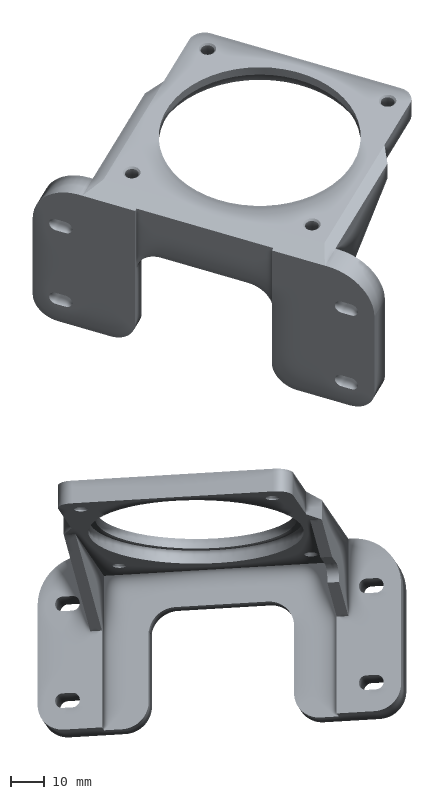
import cadquery as cq

overall_width = 110.0
overall_depth = 78.5
overall_height = 55.0

foot_thickness = 8.0
wall_thickness = 5.0
foot_gap = 44.0
foot_height = 54.0
foot_top_radius = 15.0
foot_bottom_radius = 8.0
slot_length = 7.5
slot_width = 4.5
slot_x = 46.0
slot_heights = (9.0, 39.0)

bridge_setback = 1.0
bridge_bottom = 37.0
bridge_radius = 8.0

plate_width = 71.1
plate_thickness = 7.0
plate_radius = 5.0
plate_bottom = overall_height - plate_thickness
plate_center_y = overall_depth - plate_width / 2
bore_diameter = 60.0
bore_lip = 3.0
recess_diameter = 64.0
hole_spacing = 58.0
hole_diameter = 4.1
hole_chamfer = 0.5

web_outer_width = 78.1
web_end_y = 48.0
web_flare_length = 6.0
web_root_height = 30.0
notch_front_y = 22.1
notch_top = 41.0
notch_radius = 3.7


def box(x_min, x_max, y_min, y_max, z_min, z_max):
    """Axis-aligned block given by its limits."""
    block = cq.Workplane("XY").box(x_max - x_min, y_max - y_min, z_max - z_min, centered=False)
    return block.translate((x_min, y_min, z_min))


def make_foot():
    """Rounded right-hand foot with two horizontal slots."""
    foot = box(foot_gap / 2, overall_width / 2, 0, foot_thickness, 0, foot_height)
    foot = foot.edges("|Y and <Z").fillet(foot_bottom_radius)
    foot = foot.edges("|Y and >X and >Z").fillet(foot_top_radius)
    slots = (
        cq.Workplane("XZ")
        .pushPoints([(slot_x, z) for z in slot_heights])
        .slot2D(slot_length, slot_width)
        .extrude(-foot_thickness)
    )
    return foot.cut(slots)


def make_body():
    """Front wall and side webs, with a roof that slopes away from the plate."""
    half_outer = web_outer_width / 2
    half_inner = plate_width / 2
    flare_end_y = web_end_y + web_flare_length
    outline = (
        cq.Workplane("XY")
        .polyline([
            (-half_outer, 0),
            (half_outer, 0),
            (half_outer, web_end_y),
            (half_inner, flare_end_y),
            (-half_inner, flare_end_y),
            (-half_outer, web_end_y),
        ])
        .close()
        .extrude(overall_height)
    )
    roof_across = (
        cq.Workplane("XZ")
        .polyline([
            (-half_outer, 0),
            (half_outer, 0),
            (half_outer, foot_height),
            (half_inner, overall_height),
            (-half_inner, overall_height),
            (-half_outer, foot_height),
        ])
        .close()
        .extrude(-overall_depth)
    )
    side_profile = (
        cq.Workplane("YZ")
        .polyline([
            (0, web_root_height),
            (foot_thickness, web_root_height),
            (web_end_y, plate_bottom),
            (flare_end_y, plate_bottom),
            (flare_end_y, overall_height),
            (foot_thickness, overall_height),
            (0, foot_height),
        ])
        .close()
        .extrude(half_outer, both=True)
    )
    return outline.intersect(roof_across).intersect(side_profile)


def make_cavity():
    """Space below the plate between the webs, also thinning the inner part of the feet."""
    half_width = plate_width / 2
    return box(-half_width, half_width, wall_thickness, overall_depth, 0, plate_bottom)


def make_plate():
    """Top plate with its far corners rounded."""
    half_width = plate_width / 2
    plate = box(-half_width, half_width, foot_thickness, overall_depth, plate_bottom, overall_height)
    return plate.edges("|Z and >Y").fillet(plate_radius)


def make_bridge_opening():
    """Opening between the feet with rounded upper corners, plus the bridge setback."""
    half_gap = foot_gap / 2
    opening = box(-half_gap, half_gap, 0, foot_thickness, 0, bridge_bottom)
    opening = opening.edges("|Y and >Z").fillet(bridge_radius)
    setback = box(-half_gap, half_gap, 0, bridge_setback, 0, overall_height)
    return opening.union(setback)


def make_bore():
    """Round opening with a wider recess below its lip."""
    plate_base = cq.Workplane("XY", origin=(0, plate_center_y, plate_bottom))
    bore = plate_base.circle(bore_diameter / 2).extrude(plate_thickness)
    recess = plate_base.circle(recess_diameter / 2).extrude(plate_thickness - bore_lip)
    return bore.union(recess)


def make_screw_holes():
    """Four through holes, chamfered at the top face."""
    spots = cq.Workplane("XY", origin=(0, plate_center_y, overall_height)).rarray(
        hole_spacing, hole_spacing, 2, 2
    )
    holes = spots.circle(hole_diameter / 2).extrude(-plate_thickness)
    cones = spots.circle(hole_diameter / 2 + hole_chamfer).extrude(-hole_chamfer, taper=45)
    return holes.union(cones)


def make_web_notch():
    """Rounded notch through the lower edge of the left web only."""
    notch = box(
        -web_outer_width / 2, -plate_width / 2, notch_front_y, web_end_y, web_root_height, notch_top
    )
    return notch.edges("|X and <Y and >Z").fillet(notch_radius)


right_foot = make_foot()
left_foot = right_foot.mirror("YZ")

result = (
    make_body()
    .union(make_plate())
    .union(right_foot)
    .union(left_foot)
    .cut(make_cavity())
    .cut(make_bridge_opening())
    .cut(make_bore())
    .cut(make_screw_holes())
    .cut(make_web_notch())
)